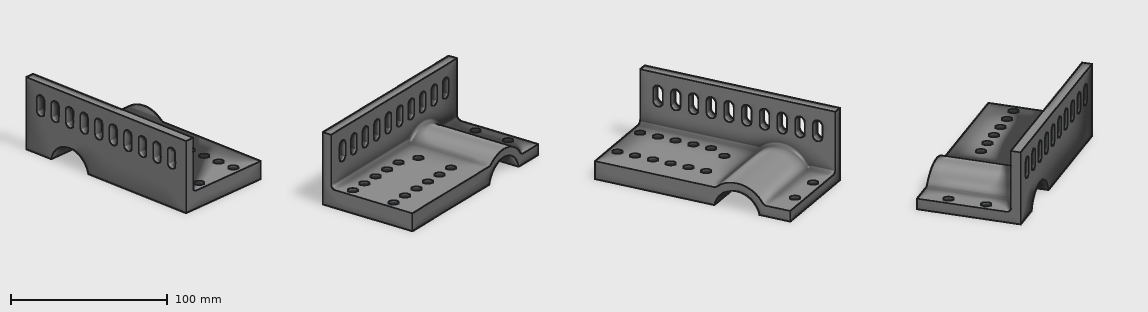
import cadquery as cq
import math

length = 139.7
depth = 69.8
height = 50.9
wall_thickness = 6.5
left_plate_thickness = 7.5
right_plate_thickness = 12.7

fillet_radius = 3.2

arch_center_x = 38.1
channel_radius = 16.5
channel_top = 13.1
arch_center_z = channel_top - channel_radius
arch_top = 18.9
arch_radius = arch_top - arch_center_z

pitch = length / 11
hole_diameter = 6.7
slot_count = 10
slot_length = 14.7
slot_center_z = 34.6

first_column_x = pitch / 2
back_row_y = 4 * pitch
middle_row_y = 2 * pitch
front_row_y = 1.5 * pitch
back_row_columns = [0, 5, 6, 7, 8, 9, 10]
middle_row_columns = [0, 5]
front_row_columns = [6, 7, 8, 9, 10]


def cylinder_along_y(radius):
    """Round bar on the arch axis, running the full depth of the bracket."""
    bar = cq.Workplane("XZ").center(arch_center_x, arch_center_z).circle(radius)
    return bar.extrude(-depth)


def make_arched_plate():
    """Thin left plate and thick right plate joined by a filleted hump."""
    left_plate = cq.Workplane("XY").box(arch_center_x, depth, left_plate_thickness, centered=False)
    right_plate = cq.Workplane("XY", origin=(arch_center_x, 0, 0)).box(
        length - arch_center_x, depth, right_plate_thickness, centered=False
    )
    above_base = cq.Workplane("XY").box(length, depth, height, centered=False)
    hump = cylinder_along_y(arch_radius).intersect(above_base)
    arched = left_plate.union(right_plate).union(hump)

    for side, thickness in ((-1, left_plate_thickness), (1, right_plate_thickness)):
        half_width = math.sqrt(arch_radius**2 - (thickness - arch_center_z) ** 2)
        corner = (arch_center_x + side * half_width, depth / 2, thickness)
        edge = cq.selectors.NearestToPointSelector(corner)
        arched = arched.edges(edge).fillet(fillet_radius)
    return arched


def add_wall(plate):
    """Upright front wall with a fillet following the plate and hump."""
    wall = cq.Workplane("XY").box(length, wall_thickness, height, centered=False)
    bracket = plate.union(wall)
    tolerance = 0.01
    inner_corner = cq.selectors.BoxSelector(
        (-tolerance, wall_thickness - tolerance, left_plate_thickness - tolerance),
        (length + tolerance, wall_thickness + tolerance, arch_top + tolerance),
        boundingbox=True,
    )
    return bracket.edges(inner_corner).fillet(fillet_radius)


def cut_channel(bracket):
    """Round channel open at the bottom, through the full depth."""
    return bracket.cut(cylinder_along_y(channel_radius))


def cut_slots(bracket):
    """Row of upright slots through the wall."""
    centers = [((i + 1) * pitch, slot_center_z) for i in range(slot_count)]
    slots = cq.Workplane("XZ").pushPoints(centers).slot2D(slot_length, hole_diameter, 90)
    return bracket.cut(slots.extrude(-wall_thickness))


def cut_hole_row(bracket, row_y, columns):
    """Round holes through the plate at the given grid columns."""
    centers = [(first_column_x + column * pitch, row_y) for column in columns]
    holes = cq.Workplane("XY").pushPoints(centers).circle(hole_diameter / 2)
    return bracket.cut(holes.extrude(right_plate_thickness))


result = add_wall(make_arched_plate())
result = cut_channel(result)
result = cut_slots(result)
result = cut_hole_row(result, back_row_y, back_row_columns)
result = cut_hole_row(result, middle_row_y, middle_row_columns)
result = cut_hole_row(result, front_row_y, front_row_columns)